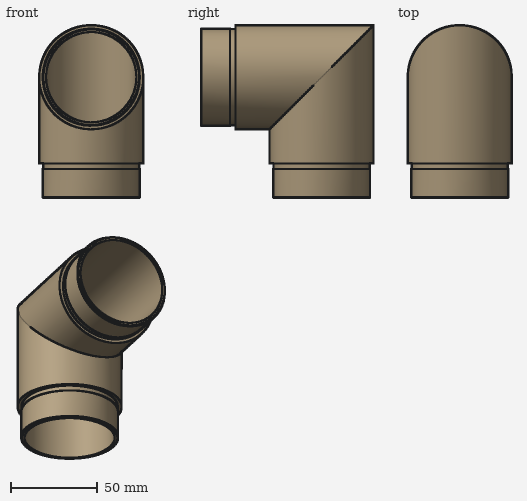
import cadquery as cq

overall_length = 100.0
tube_diameter = 60.3
bore_diameter = 52.2
spigot_diameter = 56.2
groove_diameter = 55.8
spigot_length = 20.0
groove_width = 3.1
end_chamfer = 0.45

leg_end = overall_length - tube_diameter / 2
shoulder = leg_end - spigot_length
groove_end = shoulder + groove_width
beyond_mitre = -overall_length


def leg_cylinder(diameter, start, end):
    """Cylinder on the vertical leg, between two distances below the axes' crossing."""
    return cq.Workplane("XY").workplane(offset=-end).circle(diameter / 2).extrude(end - start)


def cut_at_mitre(body):
    """Keep the part of a vertical body below the 45 degree plane z = y."""
    size = overall_length
    keep = (
        cq.Workplane("YZ")
        .polyline([(-size, -size), (size, -size), (size, size)])
        .close()
        .extrude(size, both=True)
    )
    return body.intersect(keep)


def build_leg():
    """Vertical leg: tube, groove and spigot, bored through and cut at the mitre."""
    tube = leg_cylinder(tube_diameter, beyond_mitre, shoulder)
    groove = leg_cylinder(groove_diameter, shoulder, groove_end)
    spigot = leg_cylinder(spigot_diameter, groove_end, leg_end)
    spigot = spigot.faces("<Z").edges().chamfer(end_chamfer)
    bore = leg_cylinder(bore_diameter, beyond_mitre, leg_end)
    return cut_at_mitre(tube.union(groove).union(spigot).cut(bore))


vertical_leg = build_leg()

horizontal_leg = vertical_leg.mirror("XZ").rotate((0, 0, 0), (1, 0, 0), -90)

result = vertical_leg.union(horizontal_leg)